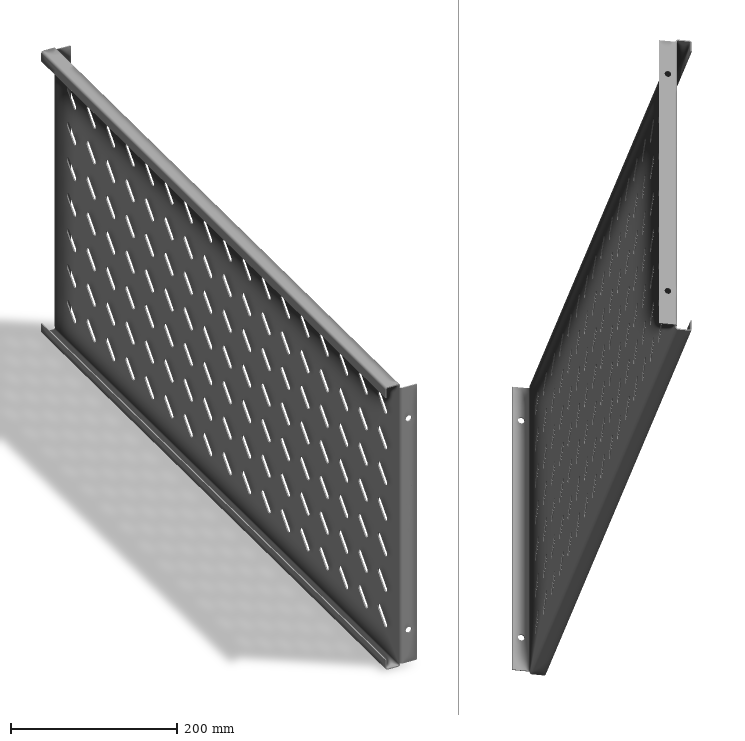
import cadquery as cq
import math

panel_length = 892.0
panel_depth = 41.0
panel_height = 397.0

sheet_thickness = 1.5
inner_bend_radius = 1.5
outer_bend_radius = inner_bend_radius + sheet_thickness

channel_depth = 20.0
side_flange_depth = panel_depth - channel_depth + sheet_thickness
lip_height = 14.5
side_flange_inset = 5.0

web_length = panel_length - 2 * outer_bend_radius
web_height = panel_height - 2 * outer_bend_radius
side_flange_height = panel_height - 2 * side_flange_inset

slot_columns = 17
slot_rows = 7
slot_pitch = 50.0
slot_length = 30.5
slot_width = 8.5
slot_angle = -45.0

mount_hole_diameter = 8.0
mount_hole_spacing = 297.0
mount_hole_edge_distance = 11.0

web_back = sheet_thickness
lip_front = web_back - channel_depth

half_length = panel_length / 2
half_height = panel_height / 2


def bend_midpoint(center_u, center_v, radius, sign_u, sign_v):
    """Point halfway round a quarter bend about the given center."""
    offset = radius * math.sqrt(0.5)
    return (center_u + sign_u * offset, center_v + sign_v * offset)


def make_web():
    return cq.Workplane("XY").box(web_length, sheet_thickness, web_height).translate((0, web_back / 2, 0))


def make_top_channel():
    """Bend, flange and turned-down lip along the top edge, drawn in YZ."""
    bend_z = half_height - outer_bend_radius
    inner_z = half_height - sheet_thickness
    web_bend_y = web_back - outer_bend_radius
    lip_bend_y = lip_front + outer_bend_radius
    lip_back = lip_front + sheet_thickness
    lip_end = half_height - lip_height
    profile = (
        cq.Workplane("YZ")
        .moveTo(web_back, bend_z)
        .threePointArc(bend_midpoint(web_bend_y, bend_z, outer_bend_radius, 1, 1), (web_bend_y, half_height))
        .lineTo(lip_bend_y, half_height)
        .threePointArc(bend_midpoint(lip_bend_y, bend_z, outer_bend_radius, -1, 1), (lip_front, bend_z))
        .lineTo(lip_front, lip_end)
        .lineTo(lip_back, lip_end)
        .lineTo(lip_back, bend_z)
        .threePointArc(bend_midpoint(lip_bend_y, bend_z, inner_bend_radius, -1, 1), (lip_bend_y, inner_z))
        .lineTo(web_bend_y, inner_z)
        .threePointArc(bend_midpoint(web_bend_y, bend_z, inner_bend_radius, 1, 1), (0, bend_z))
        .close()
    )
    return profile.extrude(web_length / 2, both=True)


def make_right_flange():
    """Bend and flange along the +X edge, drawn in XY."""
    bend_x = half_length - outer_bend_radius
    bend_y = outer_bend_radius
    inner_x = half_length - sheet_thickness
    profile = (
        cq.Workplane("XY")
        .moveTo(bend_x, 0)
        .threePointArc(bend_midpoint(bend_x, bend_y, outer_bend_radius, 1, -1), (half_length, bend_y))
        .lineTo(half_length, side_flange_depth)
        .lineTo(inner_x, side_flange_depth)
        .lineTo(inner_x, bend_y)
        .threePointArc(bend_midpoint(bend_x, bend_y, inner_bend_radius, 1, -1), (bend_x, web_back))
        .close()
    )
    return profile.extrude(side_flange_height / 2, both=True)


def make_web_slots():
    return (
        cq.Workplane("XZ")
        .rarray(slot_pitch, slot_pitch, slot_columns, slot_rows)
        .slot2D(slot_length, slot_width, slot_angle)
        .extrude(-sheet_thickness)
    )


def make_mount_holes():
    """Pins along X that pierce both side flanges."""
    hole_y = side_flange_depth - mount_hole_edge_distance
    hole_z = mount_hole_spacing / 2
    return (
        cq.Workplane("YZ")
        .pushPoints([(hole_y, -hole_z), (hole_y, hole_z)])
        .circle(mount_hole_diameter / 2)
        .extrude(half_length, both=True)
    )


top_channel = make_top_channel()
right_flange = make_right_flange()

result = (
    make_web()
    .union(top_channel)
    .union(top_channel.mirror("XY"))
    .union(right_flange)
    .union(right_flange.mirror("YZ"))
    .cut(make_web_slots())
    .cut(make_mount_holes())
)